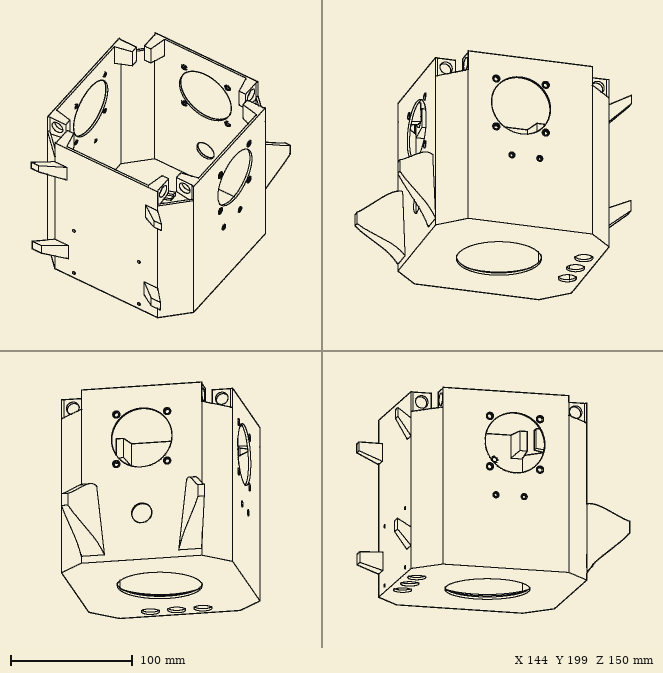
import cadquery as cq
import math

width = 144.0
overall_length = 199
depth = 150.0
height = 150.0
wall = 2.0
bevel = 21.3
half_x = width / 2
half_y = depth / 2
inner_x = half_x - wall
inner_y = half_y - wall
inner_bevel = bevel - (2 - math.sqrt(2)) * wall
corner_drop = 16.7

boss_reach = 15.5
boss_root = 9.8
boss_tip = 6.4
boss_root_height = 19.7
magnet_diameter = 10.5
magnet_from_wall = 7.4
magnet_from_top = 8.0
magnet_depth = 4.0

port_diameter = 70.0
port_y = 4.0
ring_outer_radius = 45.4
ring_step_radius = 42.4
ring_inner_radius = 39.0
ring_height = 4.0
ring_step_height = 2.0
ring_gap = 25.0
button_diameter = 15.0
button_pitch = 22.0
button_y = -62.3

fan_diameter = 51.0
side_fan_z = 107.0
back_fan_z = 105.5
side_fan_y = 8.0
fan_screw_pitch = 42.8
fan_screw_diameter = 4.0
fan_screw_head = 6.0

side_screw_y = 3.8
side_screw_z = 61.9
side_screw_pitch = 24.0
side_screw_diameter = 3.0
side_screw_head = 5.0
head_depth = 1.0
plug_diameter = 17.0
plug_z = 40.2
board_hole_diameter = 2.5
board_hole_pitch_x = 64.0
board_hole_low_z = 5.5
board_hole_pitch_z = 50.1

foot_length = 15.0
foot_root_outer_x = half_x - bevel
upper_foot_root = (38.8, foot_root_outer_x, 112.5, 127.5)
upper_foot_tip = (56.7, 64.3, 124.8, 132.3)
lower_foot_root = (37.5, foot_root_outer_x, 19.5, 35.2)
lower_foot_tip = (54.1, 63.3, 29.5, 38.6)

fin_length = overall_length - depth - foot_length
fin_root_top_x = (37.8, 43.0)
fin_root_bottom_x = (31.2, 50.7)
fin_tip_x = (54.7, 60.0)
fin_sections = [(0, 6.0, 66.0), (4.0, 12.0, 66.7), (17.0, 24.7, 60.9), (fin_length, 39.8, 50.0)]


def bevelled_prism(size_x, size_y, corner, bottom, top):
    """Upright box centred on the Z axis with bevelled vertical edges."""
    prism = cq.Workplane("XY").workplane(offset=bottom).rect(size_x, size_y).extrude(top - bottom)
    return prism.edges("|Z").chamfer(corner)


def in_four_corners(body):
    """The body together with its copies in the other three corners."""
    pair = body.union(body.mirror("YZ"))
    return pair.union(pair.mirror("XZ"))


def make_shell():
    shell = bevelled_prism(width, depth, bevel, 0, height)
    shell = shell.cut(bevelled_prism(2 * inner_x, 2 * inner_y, inner_bevel, wall, height))
    corner_wall = [
        (half_x, half_y - bevel),
        (half_x - bevel, half_y),
        (inner_x - inner_bevel, inner_y),
        (inner_x, inner_y - inner_bevel),
    ]
    notch = cq.Workplane("XY").workplane(offset=height - corner_drop).polyline(corner_wall).close()
    return shell.cut(in_four_corners(notch.extrude(corner_drop)))


def make_boss():
    """Boss at the end of a +Y wall: end face on x = 0, wall face on y = 0, top on z = 0."""
    plan = [(0, 0), (-boss_root, 0), (-boss_tip, -boss_reach), (0, -boss_reach)]
    side = [(0, 0), (0, -boss_root_height), (-boss_reach, -corner_drop), (-boss_reach, 0)]
    boss = cq.Workplane("XY").polyline(plan).close().extrude(-boss_root_height)
    boss = boss.intersect(cq.Workplane("YZ").polyline(side).close().extrude(-boss_root))
    pocket = cq.Workplane("YZ").center(-magnet_from_wall, -magnet_from_top).circle(magnet_diameter / 2)
    return boss.cut(pocket.extrude(-magnet_depth))


def make_bosses():
    boss = make_boss()
    on_y_wall = boss.translate((inner_x - inner_bevel, inner_y, height))
    on_x_wall = boss.mirror((1, -1, 0)).translate((inner_x, inner_y - inner_bevel, height))
    return in_four_corners(on_y_wall).union(in_four_corners(on_x_wall))


def make_ring():
    floor = cq.Workplane("XY").workplane(offset=wall).center(0, port_y)
    ring = floor.circle(ring_outer_radius).circle(ring_step_radius).extrude(ring_height)
    ring = ring.union(floor.circle(ring_outer_radius).circle(ring_inner_radius).extrude(ring_step_height))
    gap = floor.center(0, ring_outer_radius / 2).rect(ring_gap, ring_outer_radius).extrude(ring_height)
    return ring.cut(gap)


def section(distance, outline):
    """Closed wire in the plane y = distance through the (x, z) points of the outline."""
    return cq.Wire.makePolygon([cq.Vector(x, distance, z) for x, z in outline], close=True)


def foot_section(distance, bounds):
    near_x, far_x, low_z, high_z = bounds
    return section(distance, [(near_x, low_z), (far_x, low_z), (far_x, high_z), (near_x, high_z)])


def make_feet(root, tip):
    """Mirrored pair of tapered feet between their root and tip rectangles."""
    sections = [foot_section(-half_y, root), foot_section(-half_y - foot_length, tip)]
    foot = cq.Workplane(cq.Solid.makeLoft(sections, True))
    return foot.union(foot.mirror("YZ"))


def make_fins():
    """Swept-out pair of fins, wide along the bottom, tapering to a slim upright tip."""
    wires = []
    for distance, bottom_z, top_z in fin_sections:
        taper = distance / fin_length
        bottom = [x + (tip - x) * taper for x, tip in zip(fin_root_bottom_x, fin_tip_x)]
        top = [x + (tip - x) * taper for x, tip in zip(fin_root_top_x, fin_tip_x)]
        outline = [(bottom[0], bottom_z), (bottom[1], bottom_z), (top[1], top_z), (top[0], top_z)]
        wires.append(section(half_y + distance, outline))
    fin = cq.Workplane(cq.Solid.makeLoft(wires))
    return fin.union(fin.mirror("YZ"))


def cut_floor(body):
    port = cq.Workplane("XY").center(0, port_y).circle(port_diameter / 2).extrude(wall)
    buttons = cq.Workplane("XY").center(0, button_y).rarray(button_pitch, 2, 3, 1)
    return body.cut(port).cut(buttons.circle(button_diameter / 2).extrude(wall))


def wall_face(outward, x, y, z):
    """Workplane on an outer wall face, with its local y pointing up."""
    return cq.Workplane(cq.Plane(origin=(x, y, z), xDir=(-outward[1], outward[0], 0), normal=outward))


def counterbored_holes(face, pitch_x, pitch_y, count_y, diameter, head):
    """Cutters for a grid of counterbored holes, two across, through the wall behind the face."""
    points = face.rarray(pitch_x, pitch_y, 2, count_y)
    holes = points.circle(diameter / 2).extrude(-wall)
    return holes.union(points.circle(head / 2).extrude(-head_depth))


def fan_cutter(face):
    opening = face.circle(fan_diameter / 2).extrude(-wall)
    screws = counterbored_holes(
        face, fan_screw_pitch, fan_screw_pitch, 2, fan_screw_diameter, fan_screw_head
    )
    return opening.union(screws)


def cut_side_walls(body):
    for side in (-1, 1):
        outward = (side, 0, 0)
        body = body.cut(fan_cutter(wall_face(outward, side * half_x, side_fan_y, side_fan_z)))
        screw_face = wall_face(outward, side * half_x, side_screw_y, side_screw_z)
        body = body.cut(counterbored_holes(
            screw_face, side_screw_pitch, 2, 1, side_screw_diameter, side_screw_head
        ))
    return body


def cut_back_wall(body):
    outward = (0, 1, 0)
    plug = wall_face(outward, 0, half_y, plug_z).circle(plug_diameter / 2).extrude(-wall)
    return body.cut(fan_cutter(wall_face(outward, 0, half_y, back_fan_z))).cut(plug)


def cut_front_wall(body):
    middle_z = board_hole_low_z + board_hole_pitch_z / 2
    face = wall_face((0, -1, 0), 0, -half_y, middle_z)
    holes = face.rarray(board_hole_pitch_x, board_hole_pitch_z, 2, 2)
    return body.cut(holes.circle(board_hole_diameter / 2).extrude(-wall))


result = make_shell().union(make_bosses()).union(make_ring())
result = result.union(make_feet(upper_foot_root, upper_foot_tip))
result = result.union(make_feet(lower_foot_root, lower_foot_tip))
result = result.union(make_fins())
result = cut_floor(result)
result = cut_side_walls(result)
result = cut_back_wall(result)
result = cut_front_wall(result)